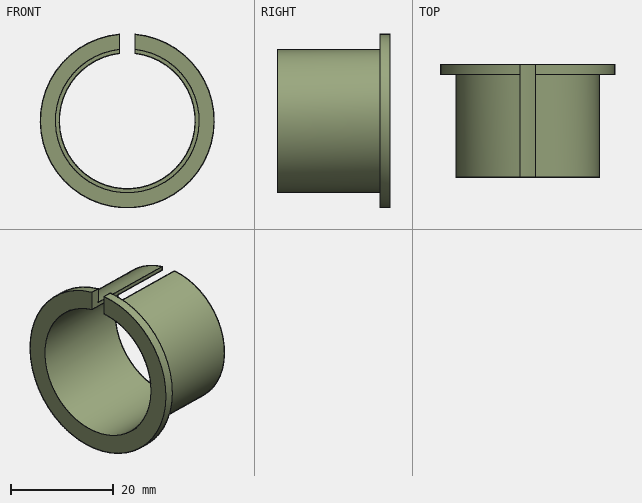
import cadquery as cq

flange_diameter = 33.88
flange_thickness = 2.0
sleeve_diameter = 28.0
bore_diameter = 26.4
total_length = 22.0
slot_width = 3.0


def cylinder_along_y(diameter, length):
    """Cylinder on the Y axis, running from Y = 0 toward -Y."""
    return cq.Workplane("XZ").circle(diameter / 2).extrude(length)


def split_slot():
    """Cutter that opens the wall along the full length on the +Z side."""
    return cq.Workplane("XY").box(
        slot_width, total_length, flange_diameter / 2, centered=(True, True, False)
    ).translate((0, -total_length / 2, 0))


flange = cylinder_along_y(flange_diameter, flange_thickness)
sleeve = cylinder_along_y(sleeve_diameter, total_length)
bore = cylinder_along_y(bore_diameter, total_length)

result = flange.union(sleeve).cut(bore).cut(split_slot())